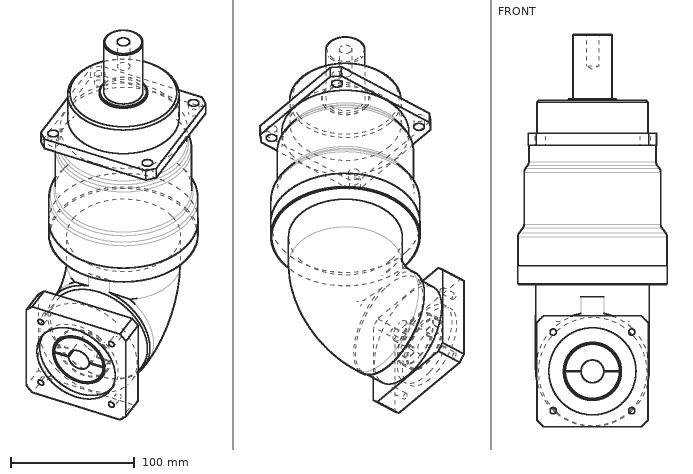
import cadquery as cq
import math


drill_tip_angle = math.radians(118)

shaft_radius = 16.0
shaft_top = 317.8
shaft_chamfer = 1.0
centre_hole_radius = 5.0
centre_hole_depth = 25.5
collar_radius = 19.7
collar_height = 1.3
collar_chamfer = 1.0

pilot_radius = 45.0
pilot_top = 264.5
pilot_chamfer = 2.0
shoulder_radius = 51.5
gear_case_radius = 55.3
drum_radius = 60.5
ring_radius = 60.55
shoulder_end = 213.0
gear_case_end = 162.5
ring_top = 130.3
ring_bottom = 115.0
ring_chamfer = 1.0
taper_angle = math.radians(37)
taper_blend_radius = 5.0

plate_side = 104.0
plate_top = 237.7
plate_thickness = 10.0
plate_corner_chamfer = 6.5
plate_hole_pitch = 85.0
plate_hole_diameter = 8.5

elbow_radius = 46.0
bend_radius = 38.8
bend_height = 85.5
stub_end = -45.0
neck_flat_top = 105.2

flange_side = 90.0
overall_depth = 147.5
flange_front = ring_radius - overall_depth
flange_thickness = 22.2
flange_corner_chamfer = 5.5
flange_axis = flange_side / 2
flange_hole_pitch = 63.5
flange_hole_radius = 2.5
flange_hole_depth = 12.7
pipe_radius = 44.0

recess_radius = 35.3
recess_depth = 5.0
hub_radius = 22.5
hub_chamfer = 0.5
hub_gap = 1.0
hub_gap_depth = 9.5
hub_bore_radius = 9.2
hub_bore_depth = 25.5
hub_slit_width = 1.0


def cylinder_z(radius, bottom, top):
    """Upright cylinder on the shaft axis."""
    return cq.Workplane("XY", origin=(0, 0, bottom)).circle(radius).extrude(top - bottom)


def motor_plane(y, axis_height):
    """Sketch plane at y whose normal points into the part, along +Y."""
    return cq.Workplane(cq.Plane((0, y, axis_height), xDir=(1, 0, 0), normal=(0, 1, 0)))


def make_shaft():
    shaft = cylinder_z(shaft_radius, pilot_top, shaft_top).faces(">Z").chamfer(shaft_chamfer)
    collar = cylinder_z(collar_radius, pilot_top, pilot_top + collar_height)
    return shaft.union(collar.faces(">Z").chamfer(collar_chamfer))


def make_drilled_hole(radius, depth):
    """Hole cutter with a conical tip, sunk from the origin along -Z."""
    tip_depth = radius / math.tan(drill_tip_angle / 2)
    profile = [(0, 0), (radius, 0), (radius, -depth), (0, -depth - tip_depth)]
    return cq.Workplane("XZ").polyline(profile).close().revolve(360, (0, 0), (0, 1))


def make_centre_hole():
    return make_drilled_hole(centre_hole_radius, centre_hole_depth).translate((0, 0, shaft_top))


def make_housing():
    case_start = shoulder_end - (gear_case_radius - shoulder_radius) / math.tan(taper_angle)
    drum_start = gear_case_end - (drum_radius - gear_case_radius) / math.tan(taper_angle)
    profile = [
        (0, pilot_top),
        (pilot_radius - pilot_chamfer, pilot_top),
        (pilot_radius, pilot_top - pilot_chamfer),
        (pilot_radius, plate_top),
        (shoulder_radius, plate_top),
        (shoulder_radius, shoulder_end),
        (gear_case_radius, case_start),
        (gear_case_radius, gear_case_end),
        (drum_radius, drum_start),
        (drum_radius, ring_top),
        (ring_radius, ring_top),
        (ring_radius, ring_bottom + ring_chamfer),
        (ring_radius - ring_chamfer, ring_bottom),
        (0, ring_bottom),
    ]
    housing = cq.Workplane("XZ").polyline(profile).close().revolve(360, (0, 0), (0, 1))
    for blend_height in (shoulder_end, case_start, gear_case_end, drum_start):
        blend_edge = cq.NearestToPointSelector((0, 0, blend_height))
        housing = housing.edges(blend_edge).fillet(taper_blend_radius)
    return housing


def make_mounting_plate():
    return (
        cq.Workplane("XY", origin=(0, 0, plate_top - plate_thickness))
        .rect(plate_side, plate_side)
        .extrude(plate_thickness)
        .edges("|Z")
        .chamfer(plate_corner_chamfer)
        .faces(">Z")
        .workplane()
        .rect(plate_hole_pitch, plate_hole_pitch, forConstruction=True)
        .vertices()
        .hole(plate_hole_diameter)
    )


def make_bend():
    """Quarter turn of the elbow section, cut off at the bend axis it overlaps."""
    chord_half = math.sqrt(elbow_radius**2 - bend_radius**2)
    return (
        cq.Workplane("XY", origin=(0, 0, bend_height))
        .moveTo(-chord_half, -bend_radius)
        .threePointArc((0, elbow_radius), (chord_half, -bend_radius))
        .close()
        .revolve(90, (3.2, -bend_radius), (0, -bend_radius))
    )


def make_elbow():
    neck = cylinder_z(elbow_radius, bend_height, ring_bottom)
    stub_length = -bend_radius - stub_end
    stub = motor_plane(stub_end, bend_height - bend_radius).circle(elbow_radius).extrude(stub_length)
    flat_depth = elbow_radius + stub_end
    flat_cut = (
        cq.Workplane("XY", origin=(0, -elbow_radius, 0))
        .box(2 * elbow_radius, flat_depth, neck_flat_top, centered=(True, False, False))
    )
    return neck.union(make_bend()).union(stub).cut(flat_cut)


def make_motor_flange():
    flange = (
        motor_plane(flange_front, flange_axis)
        .rect(flange_side, flange_side)
        .extrude(flange_thickness)
        .edges("|Y")
        .chamfer(flange_corner_chamfer)
    )
    pipe_length = stub_end - flange_front
    pipe = motor_plane(flange_front, flange_axis).circle(pipe_radius).extrude(pipe_length)
    return flange.union(pipe)


def make_flange_screw_holes():
    screw_hole = make_drilled_hole(flange_hole_radius, flange_hole_depth).rotate((0, 0, 0), (1, 0, 0), 90)
    holes = cq.Workplane("XY")
    for side_x in (-1, 1):
        for side_z in (-1, 1):
            x = side_x * flange_hole_pitch / 2
            z = flange_axis + side_z * flange_hole_pitch / 2
            holes = holes.add(screw_hole.translate((x, flange_front, z)))
    return holes.combine()


def make_hub_recess():
    """Motor recess with the ring gap, slit and bore that shape the clamping hub."""
    recess = motor_plane(flange_front, flange_axis).circle(recess_radius).extrude(recess_depth)
    hub_face = motor_plane(flange_front + recess_depth, flange_axis)
    hub = hub_face.circle(hub_radius).extrude(hub_gap_depth).faces("<Y").chamfer(hub_chamfer)
    gap = hub_face.circle(hub_radius + hub_gap).extrude(hub_gap_depth).cut(hub)
    slit_length = 2 * hub_radius + hub_gap
    slit = hub_face.rect(slit_length, hub_slit_width).extrude(hub_gap_depth)
    bore = hub_face.circle(hub_bore_radius).extrude(hub_bore_depth)
    return recess.union(gap).union(slit).union(bore)


result = (
    make_housing()
    .union(make_mounting_plate())
    .union(make_shaft())
    .cut(make_centre_hole())
    .union(make_elbow())
    .union(make_motor_flange())
    .cut(make_flange_screw_holes())
    .cut(make_hub_recess())
)